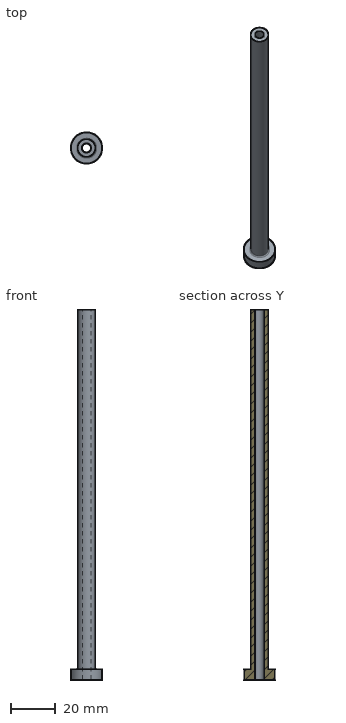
import cadquery as cq

total_length = 165.0
head_diameter = 14.0
head_height = 5.0
shank_diameter = 8.0
bore_diameter = 4.0
neck_fillet = 0.5

head_radius = head_diameter / 2
shank_radius = shank_diameter / 2
bore_radius = bore_diameter / 2
neck_top = head_height + neck_fillet

fillet_start = (shank_radius + neck_fillet, head_height)
fillet_end = (shank_radius, neck_top)
section = (
    cq.Workplane("XZ")
    .moveTo(bore_radius, 0)
    .lineTo(head_radius, 0)
    .lineTo(head_radius, head_height)
    .lineTo(*fillet_start)
    .radiusArc(fillet_end, neck_fillet)
    .lineTo(shank_radius, total_length)
    .lineTo(bore_radius, total_length)
    .close()
)

result = section.revolve(360, (0, 0, 0), (0, 1, 0))